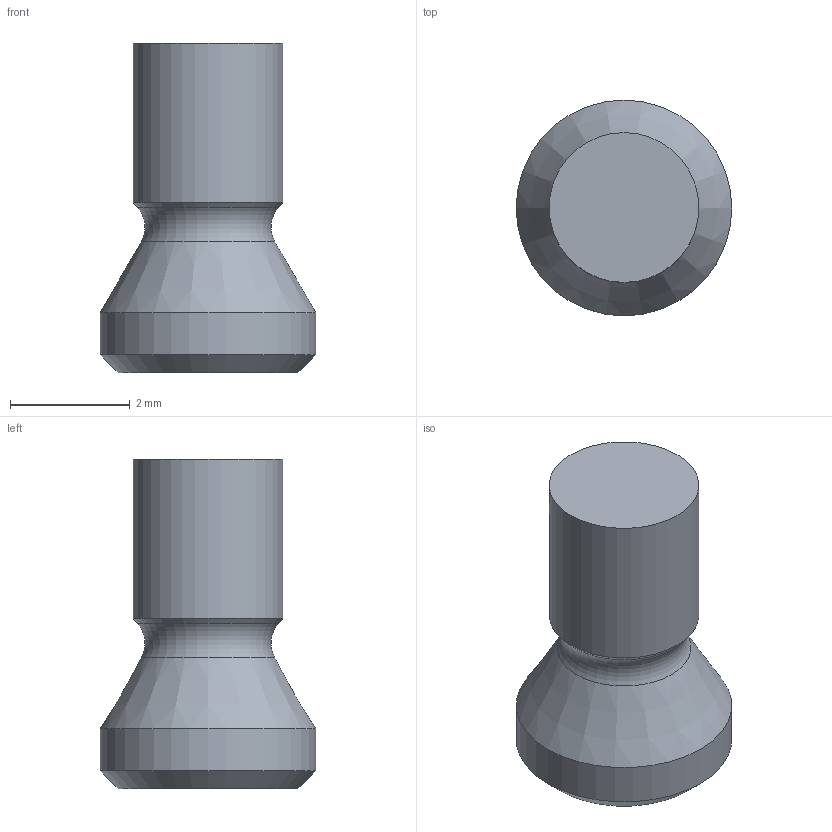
import cadquery as cq
import math

head_radius = 3.6 / 2
stem_radius = 2.5 / 2
total_height = 5.5
stem_length = 2.65
base_chamfer = 0.3
head_height = 1.0
head_angle = math.radians(30)
stem_angle = math.radians(41)
neck_fillet = 0.5

stem_bottom = total_height - stem_length

head_slope = math.tan(head_angle)
stem_slope = math.tan(stem_angle)
corner_z = (
    head_radius - stem_radius + head_height * head_slope + stem_bottom * stem_slope
) / (head_slope + stem_slope)
corner_radius = head_radius - (corner_z - head_height) * head_slope

tangent_length = neck_fillet * math.tan((head_angle + stem_angle) / 2)


def head_cone_point(distance):
    """Point (radius, z) on the head cone, below the sharp corner."""
    return (
        corner_radius + distance * math.sin(head_angle),
        corner_z - distance * math.cos(head_angle),
    )


def stem_cone_point(distance):
    """Point (radius, z) on the cone under the stem, above the sharp corner."""
    return (
        corner_radius + distance * math.sin(stem_angle),
        corner_z + distance * math.cos(stem_angle),
    )


def make_pin():
    """Revolve the half profile: chamfered head, cone, filleted neck and stem."""
    profile = (
        cq.Workplane("XZ")
        .moveTo(0, 0)
        .lineTo(head_radius - base_chamfer, 0)
        .lineTo(head_radius, base_chamfer)
        .lineTo(head_radius, head_height)
        .lineTo(*head_cone_point(tangent_length))
        .tangentArcPoint(stem_cone_point(tangent_length), relative=False)
        .lineTo(stem_radius, stem_bottom)
        .lineTo(stem_radius, total_height)
        .lineTo(0, total_height)
        .close()
    )
    return profile.revolve(360, (0, 0, 0), (0, 1, 0))


result = make_pin()